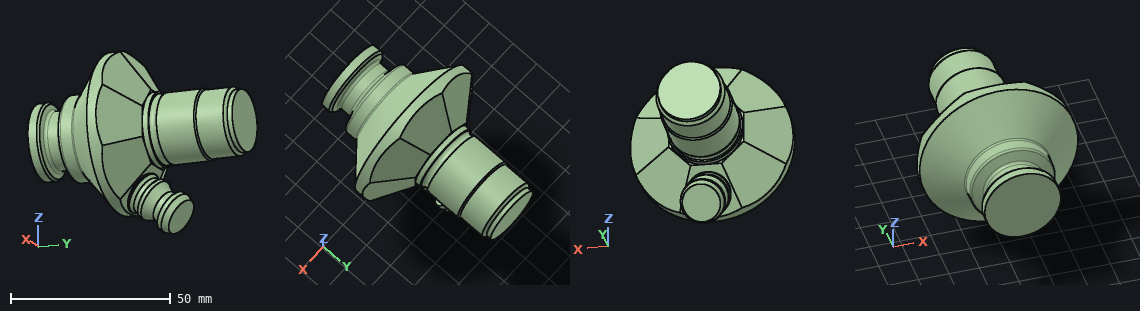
import cadquery as cq
import math

length = 68.9
disc_radius = 52.0 / 2
collar_radius = 24.0 / 2

flange_radius = 25.0 / 2
flange_rim_width = 3.0
flange_bevel_radius = 11.85
flange_bevel_end = 3.8
neck_radius = 19.0 / 2
neck_start = 5.45
neck_end = 8.9
neck_corner_radius = 10.2
neck_corner_mid_radius = 9.7
front_corner_start = 4.35
front_corner_mid = 4.75
rear_corner_mid = 9.45
rear_corner_end = 9.85

hub_radius = 28.0 / 2
hub_front_radius = 13.5
hub_front = 10.9
hub_edge_end = 11.7
hub_edge_mid_radius = 13.85
hub_edge_mid = 11.15
hub_fillet_start = 15.6
hub_fillet_mid_radius = 14.05
hub_fillet_mid = 15.9
cone_start_radius = 14.3
cone_start = 16.2

disc_start = 26.05
collar_start = 39.0
collar_end = 41.0
groove_start_radius = 11.4
groove_bottom_radius = 10.9
groove_bottom = 42.45
barrel_start = 43.6
barrel_radius = 23.0 / 2
barrel_end = 56.4
spigot_radius = 22.0 / 2
spigot_start = barrel_end + barrel_radius - spigot_radius
spigot_end = 66.2
tip_radius = 20.0 / 2
tip_start = spigot_end + spigot_radius - tip_radius

facet_count = 8
facet_tilt = math.radians(35.0)

port_axis_crossing = 5.65
port_root_depth = 0.7
port_root_radius = 6.75
port_flange_radius = 14.0 / 2
port_foot_start = 0.3
port_foot_end = 0.9
port_groove_radius = 12.5 / 2
port_groove_start = 2.15
port_groove_end = 3.9
port_ring_start = 4.35
port_ring_end = 5.8
port_waist_radius = 5.9
port_waist = 7.7
port_neck_radius = 10.5 / 2
port_neck_start = 9.4
port_neck_end = 12.55
port_bevel_start = 14.25
port_end_radius = 6.05
port_length = 16.5


def turned_body():
    """Front flange, neck, hub, front cone, collar and rear barrel."""
    profile = (
        cq.Workplane("XY")
        .lineTo(flange_radius, 0)
        .lineTo(flange_radius, flange_rim_width)
        .lineTo(flange_bevel_radius, flange_bevel_end)
        .lineTo(neck_corner_radius, front_corner_start)
        .threePointArc((neck_corner_mid_radius, front_corner_mid), (neck_radius, neck_start))
        .lineTo(neck_radius, neck_end)
        .threePointArc((neck_corner_mid_radius, rear_corner_mid), (neck_corner_radius, rear_corner_end))
        .lineTo(hub_front_radius, hub_front)
        .threePointArc((hub_edge_mid_radius, hub_edge_mid), (hub_radius, hub_edge_end))
        .lineTo(hub_radius, hub_fillet_start)
        .threePointArc((hub_fillet_mid_radius, hub_fillet_mid), (cone_start_radius, cone_start))
        .lineTo(disc_radius, disc_start)
        .lineTo(collar_radius, disc_start)
        .lineTo(collar_radius, collar_end)
        .lineTo(groove_start_radius, collar_end)
        .threePointArc((groove_bottom_radius, groove_bottom), (barrel_radius, barrel_start))
        .lineTo(barrel_radius, barrel_end)
        .lineTo(spigot_radius, spigot_start)
        .lineTo(spigot_radius, spigot_end)
        .lineTo(tip_radius, tip_start)
        .lineTo(tip_radius, length)
        .lineTo(0, length)
        .close()
    )
    return profile.revolve(360, (0, 0, 0), (0, 1, 0))


def faceted_disc():
    """Round disc whose back is cut to an eight-sided pyramid."""
    height = collar_start - disc_start
    rear_apothem = collar_radius
    front_apothem = rear_apothem + height / math.tan(facet_tilt)
    half_sector = math.pi / facet_count

    def octagon(apothem):
        radius = apothem / math.cos(half_sector)
        angles = [(2 * i + 1) * half_sector for i in range(facet_count)]
        return [(radius * math.cos(a), radius * math.sin(a)) for a in angles]

    base = cq.Workplane("XZ", origin=(0, disc_start, 0))
    front = base.polyline(octagon(front_apothem)).close()
    both_ends = front.workplane(offset=-height).polyline(octagon(rear_apothem)).close()
    pyramid = both_ends.loft(ruled=True)
    return base.circle(disc_radius).extrude(-height).intersect(pyramid)


def side_port():
    """Stepped port standing square on the lowest facet."""
    cos_tilt = math.cos(facet_tilt)
    sin_tilt = math.sin(facet_tilt)
    reach = (collar_start - port_axis_crossing) * cos_tilt + collar_radius * sin_tilt
    foot = (0, port_axis_crossing + reach * cos_tilt, -reach * sin_tilt)
    plane = cq.Plane(origin=foot, xDir=(1, 0, 0), normal=(0, sin_tilt, cos_tilt))
    profile = (
        cq.Workplane(plane)
        .moveTo(0, -port_root_depth)
        .lineTo(port_root_radius, -port_root_depth)
        .lineTo(port_root_radius, port_foot_start)
        .lineTo(port_flange_radius, port_foot_start)
        .lineTo(port_flange_radius, port_foot_end)
        .lineTo(port_groove_radius, port_groove_start)
        .lineTo(port_groove_radius, port_groove_end)
        .lineTo(port_flange_radius, port_ring_start)
        .lineTo(port_flange_radius, port_ring_end)
        .threePointArc((port_waist_radius, port_waist), (port_neck_radius, port_neck_start))
        .lineTo(port_neck_radius, port_neck_end)
        .lineTo(port_flange_radius, port_neck_end)
        .lineTo(port_flange_radius, port_bevel_start)
        .lineTo(port_end_radius, port_length)
        .lineTo(0, port_length)
        .close()
    )
    return profile.revolve(360, (0, 0, 0), (0, 1, 0))


result = turned_body().union(faceted_disc()).union(side_port())